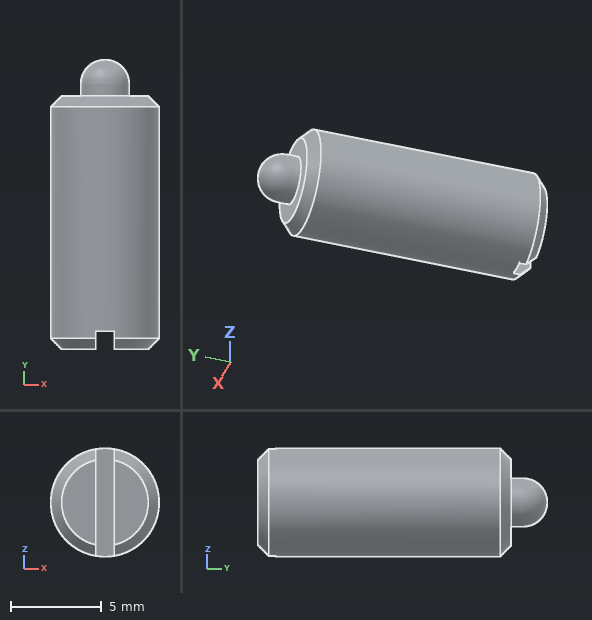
import cadquery as cq

body_diameter = 6.0
body_length = 14.0
chamfer = 0.61

pin_diameter = 2.7
pin_projection = 2.0

slot_width = 1.0
slot_depth = 1.0

pin_radius = pin_diameter / 2
pin_straight_length = pin_projection - pin_radius


def make_body():
    """Cylinder from Y = 0 to Y = body_length, chamfered at both ends."""
    body = cq.Workplane("XZ").circle(body_diameter / 2).extrude(-body_length)
    return body.faces("<Y or >Y").edges().chamfer(chamfer)


def make_pin():
    """Short cylinder ending in a hemisphere, revolved about the Y axis."""
    shoulder_y = body_length + pin_straight_length
    tip_y = body_length + pin_projection
    base_y = body_length - pin_radius
    profile = (
        cq.Workplane("XY")
        .moveTo(0, base_y)
        .lineTo(pin_radius, base_y)
        .lineTo(pin_radius, shoulder_y)
        .radiusArc((0, tip_y), -pin_radius)
        .close()
    )
    return profile.revolve(360, (0, 0, 0), (0, 1, 0))


def make_slot():
    """Screwdriver slot running along Z across the whole -Y end face."""
    return cq.Workplane("XY").box(
        slot_width, slot_depth, body_diameter, centered=(True, False, True)
    )


result = make_body().union(make_pin()).cut(make_slot())